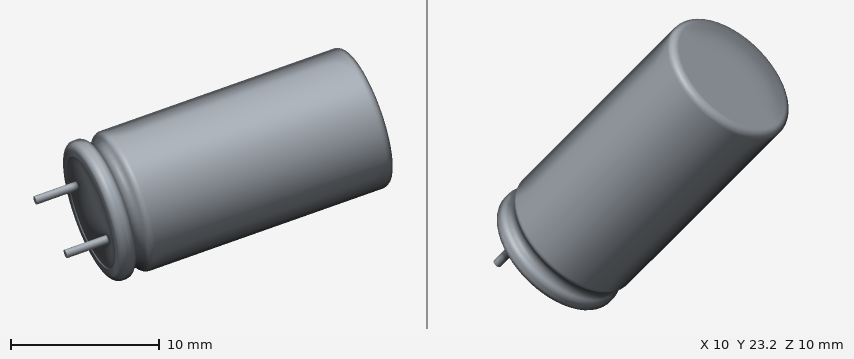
import cadquery as cq
import math

can_diameter = 10.0
total_length = 23.2
lead_length = 3.0
can_length = total_length - lead_length
edge_radius = 0.5

groove_center = 1.62
groove_depth = 0.5
groove_arc_radius = groove_depth

recess_diameter = 8.0
recess_depth = 0.1

lead_diameter = 0.6
lead_spacing = 5.0

can_radius = can_diameter / 2


def make_can():
    """Revolve the can outline, with rounded ends and a crimp groove, about Y."""
    half_depth = groove_depth / 2
    arc_width = math.sqrt(groove_arc_radius**2 - (groove_arc_radius - half_depth)**2)
    flank_radius = can_radius - half_depth
    end_face_radius = can_radius - edge_radius

    outline = (
        cq.Workplane("XY")
        .lineTo(end_face_radius, 0)
        .tangentArcPoint((can_radius, edge_radius), relative=False)
        .lineTo(can_radius, groove_center - 2 * arc_width)
        .tangentArcPoint((flank_radius, groove_center - arc_width), relative=False)
        .tangentArcPoint((flank_radius, groove_center + arc_width), relative=False)
        .tangentArcPoint((can_radius, groove_center + 2 * arc_width), relative=False)
        .lineTo(can_radius, can_length - edge_radius)
        .tangentArcPoint((end_face_radius, can_length), relative=False)
        .lineTo(0, can_length)
        .close()
    )
    return outline.revolve(360, (0, 0), (0, 1))


def cylinder_toward_leads(x, diameter, start_y, length):
    """Cylinder at the given X that runs from start_y toward -Y."""
    return cq.Workplane("XZ", origin=(x, start_y, 0)).circle(diameter / 2).extrude(length)


result = make_can().cut(cylinder_toward_leads(0, recess_diameter, recess_depth, recess_depth))

lead_root = edge_radius
for lead_x in (-lead_spacing / 2, lead_spacing / 2):
    lead = cylinder_toward_leads(lead_x, lead_diameter, lead_root, lead_root + lead_length)
    result = result.union(lead)